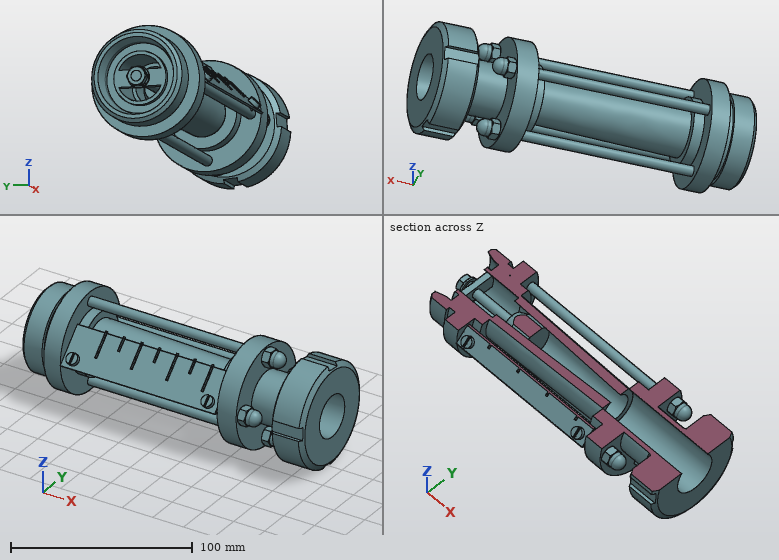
import cadquery as cq
import math


length = 186.0
collar_end = 13.8
inlet_flange_start = 18.0
inlet_flange_end = 28.8
tube_start = 35.0
tube_end = 123.0
outlet_flange_start = 130.8
outlet_flange_end = 143.2
flare_start = 163.3
union_nut_start = 164.8

collar_d = 52.0
collar_chamfer = 2.0
neck_d = 47.8
flange_d = 62.1
hub_d = 39.0
tube_inlet_d = 29.8
tube_outlet_d = 26.2
outlet_pipe_d = 31.0
flare_d = 32.2

seat_mouth_d = 43.5
seat_floor_d = 39.8
seat_cone_depth = 7.3
seat_depth = 10.6
port_d = 26.0
tube_bore_inlet_d = 22.0
tube_bore_outlet_d = 18.6

insert_d = 30.1
insert_projection = 3.0
bridge_width = 9.5
bridge_thickness = 4.0
spindle_d = 6.0
spindle_start = 0.7
spindle_nut_start = 1.0
spindle_nut_end = 4.8
spindle_collar_d = 8.4
washer_d = 12.0
washer_thickness = 1.3
float_start = 41.0
float_shoulder = 46.5
float_end = 59.5
float_nose_d = 15.3
float_d = 19.7

rod_count = 4
rod_d = 6.0
rod_offset = 25.0
rod_inlet_cover = 1.9
hex_flats = 10.0
hex_height = 5.0
hex_edge_rise = 0.5
dome_d = 9.5
dome_collar_height = 2.5

union_nut_d = 63.0
union_chamfer_length = 2.0
union_chamfer_depth = 3.3
union_slot_count = 4
union_slot_width = 7.8
union_slot_depth = 2.5
union_slot_turn = 4.7

plate_tilt = 45.0
plate_start = 29.5
plate_end = 130.0
plate_width = 25.1
plate_thickness = 1.1
plate_face_offset = 22.9
plate_upper_edge = 2.2
mark_count = 7
first_mark_x = 48.4
mark_pitch = 11.5
mark_width = 1.1
mark_height = 0.5
mark_overhang = 1.0
long_mark = 16.2
short_mark = 8.7

screw_positions = (35.9, 123.7)
screw_head_d = 7.0
screw_head_height = 2.6
screw_shank_d = 4.0
screw_slot_width = 1.1
screw_slot_depth = 1.1


def turned(points):
    """Solid of revolution about X from (x, diameter) points."""
    first_x = points[0][0]
    last_x = points[-1][0]
    radii = [(x, d / 2) for x, d in points]
    outline = [(first_x, 0)] + radii + [(last_x, 0)]
    return cq.Workplane("XY").polyline(outline).close().revolve(360, (0, 0, 0), (1, 0, 0))


def cylinder(start, end, diameter):
    """Cylinder on the X axis."""
    return turned([(start, diameter), (end, diameter)])


def chamfered_hex(start, height):
    """Hexagon along X with flats facing up and down and its corners cut at both ends."""
    corner_d = hex_flats / math.cos(math.radians(30))
    end = start + height
    prism = cq.Workplane("YZ", origin=(start, 0, 0)).polygon(6, corner_d).extrude(height)
    corner_cones = turned([
        (start, hex_flats),
        (start + hex_edge_rise, corner_d),
        (end - hex_edge_rise, corner_d),
        (end, hex_flats),
    ])
    return prism.intersect(corner_cones)


def inlet_fitting():
    return turned([
        (0, collar_d - 2 * collar_chamfer),
        (collar_chamfer, collar_d),
        (collar_end, collar_d),
        (collar_end, neck_d),
        (inlet_flange_start, neck_d),
        (inlet_flange_start, flange_d),
        (inlet_flange_end, flange_d),
        (inlet_flange_end, hub_d),
        (tube_start, hub_d),
    ])


def outlet_fitting():
    return turned([
        (tube_end, hub_d),
        (outlet_flange_start, hub_d),
        (outlet_flange_start, flange_d),
        (outlet_flange_end, flange_d),
        (outlet_flange_end, outlet_pipe_d),
        (flare_start, outlet_pipe_d),
        (union_nut_start, flare_d),
    ])


def flow_passage():
    return turned([
        (0, seat_mouth_d),
        (seat_cone_depth, seat_floor_d),
        (seat_depth, seat_floor_d),
        (seat_depth, port_d),
        (tube_start, port_d),
        (tube_start, tube_bore_inlet_d),
        (tube_end, tube_bore_outlet_d),
        (tube_end, port_d),
        (length, port_d),
    ])


def union_nut():
    face_d = union_nut_d - 2 * union_chamfer_depth
    nut = turned([
        (union_nut_start, face_d),
        (union_nut_start + union_chamfer_length, union_nut_d),
        (length - union_chamfer_length, union_nut_d),
        (length, face_d),
    ])
    nut_width = length - union_nut_start
    slot_floor = union_nut_d / 2 - union_slot_depth
    slot = cq.Workplane("XY").box(
        nut_width, union_slot_width, 2 * union_slot_depth, centered=(False, True, False)
    ).translate((union_nut_start, 0, slot_floor))
    for i in range(union_slot_count):
        angle = i * 360 / union_slot_count - union_slot_turn
        nut = nut.cut(slot.rotate((0, 0, 0), (1, 0, 0), angle))
    return nut


def inlet_insert():
    """Ring raised from the seat floor, with a flush bar across its opening."""
    insert_start = seat_depth - insert_projection
    bar_end = insert_start + bridge_thickness
    bar = cq.Workplane("XY").box(
        bridge_thickness, insert_d, bridge_width, centered=(False, True, True)
    ).translate((insert_start, 0, 0))
    bar = bar.intersect(cylinder(insert_start, bar_end, insert_d))
    ring = cylinder(insert_start, seat_depth, insert_d).cut(cylinder(insert_start, seat_depth, port_d))
    return ring.union(bar)


def spindle_and_float():
    spindle = cylinder(spindle_start, float_end, spindle_d)
    nut = chamfered_hex(spindle_nut_start, spindle_nut_end - spindle_nut_start)
    washer = cylinder(spindle_nut_end, spindle_nut_end + washer_thickness, washer_d)
    collar = cylinder(spindle_nut_end, seat_depth, spindle_collar_d)
    float_body = turned([
        (float_start, float_nose_d),
        (float_shoulder, float_d),
        (float_end, float_d),
    ])
    return spindle.union(nut).union(washer).union(collar).union(float_body)


def tie_rod():
    """Rod on the X axis with a domed hexagon nut against the outlet flange."""
    rod = cylinder(inlet_flange_start + rod_inlet_cover, outlet_flange_end, rod_d)
    hex_end = outlet_flange_end + hex_height
    hexagon = chamfered_hex(outlet_flange_end, hex_height)
    dome_center = hex_end + dome_collar_height
    collar = cylinder(outlet_flange_end, dome_center, dome_d)
    dome = cq.Workplane("XY").sphere(dome_d / 2).translate((dome_center, 0, 0))
    return rod.union(hexagon).union(collar).union(dome)


def plate_block(x, upper_y, size_x, size_y, height):
    """Block standing on the plate face, running down from its upper edge, before tilting."""
    return cq.Workplane("XY").box(
        size_x, size_y, height, centered=(True, False, False)
    ).translate((x, upper_y - size_y, plate_face_offset))


def scale_plate():
    """Plate built facing +Z with its upper edge towards +Y, then tilted towards -Y."""
    middle_x = (plate_start + plate_end) / 2
    plate = plate_block(
        middle_x, plate_upper_edge, plate_end - plate_start, plate_width, plate_thickness
    ).translate((0, 0, -plate_thickness))
    for i in range(mark_count):
        mark_length = long_mark if i % 2 == 0 else short_mark
        mark_x = first_mark_x + i * mark_pitch
        mark_top = plate_upper_edge + mark_overhang
        plate = plate.union(plate_block(mark_x, mark_top, mark_width, mark_length, mark_height))
    for x in screw_positions:
        plate = plate.union(plate_screw(x))
    return plate.rotate((0, 0, 0), (1, 0, 0), plate_tilt)


def plate_screw(x):
    """Slotted screw that fixes the plate to the tie rod behind it."""
    rod_across = -rod_offset * math.sin(math.radians(plate_tilt))
    rod_height = rod_offset * math.cos(math.radians(plate_tilt))
    face = cq.Workplane("XY", origin=(x, rod_across, plate_face_offset))
    head = face.circle(screw_head_d / 2).extrude(screw_head_height)
    slot = face.workplane(offset=screw_head_height).rect(
        screw_slot_width, screw_head_d
    ).extrude(-screw_slot_depth)
    shank = face.circle(screw_shank_d / 2).extrude(rod_height - plate_face_offset)
    return head.cut(slot).union(shank)


tube = turned([(tube_start, tube_inlet_d), (tube_end, tube_outlet_d)])
result = inlet_fitting().union(tube).union(outlet_fitting()).union(union_nut())
result = result.cut(flow_passage())
result = result.union(inlet_insert()).union(spindle_and_float())

rod = tie_rod()
for i in range(rod_count):
    angle = math.radians(i * 360 / rod_count)
    rod_y = rod_offset * math.cos(angle)
    rod_z = rod_offset * math.sin(angle)
    result = result.union(rod.translate((0, rod_y, rod_z)))

result = result.union(scale_plate())